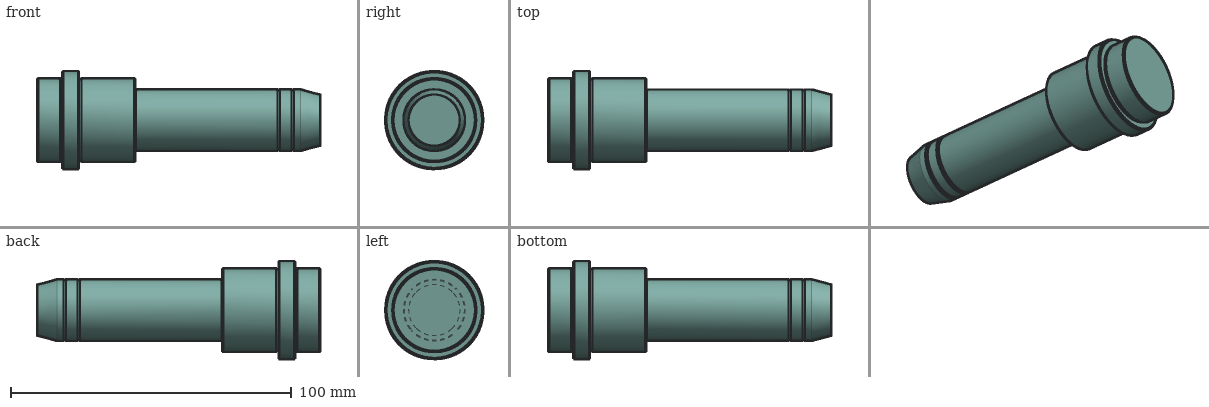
import cadquery as cq
import math

total_length = 101.0
head_diameter = 30.0
collar_diameter = 35.0
shaft_diameter = 22.0

collar_start = 9.0
collar_end = 15.0
sleeve_end = 35.0
taper_start = 93.9

edge_chamfer = 0.5

relief_width = 0.8
relief_depth = 0.4

groove_starts = (85.6, 90.6)
groove_width = 0.9
groove_depth = 0.3
undercut_width = 0.3

taper_angle = 15.0
taper_drop = (total_length - taper_start) * math.tan(math.radians(taper_angle))


def cylinder(start, end, diameter):
    """Solid cylinder on the X axis between two stations."""
    return cq.Workplane("YZ").workplane(offset=start).circle(diameter / 2).extrude(end - start)


def ring_groove(start, width, diameter, depth):
    """Cutter for a square groove around a cylinder of the given diameter."""
    bottom_diameter = diameter - 2 * depth
    return cylinder(start, start + width, diameter).cut(cylinder(start, start + width, bottom_diameter))


body = cylinder(0, sleeve_end, head_diameter).faces("<X or >X").chamfer(edge_chamfer)
for relief_start in (collar_start - relief_width, collar_end):
    body = body.cut(ring_groove(relief_start, relief_width, head_diameter, relief_depth))
collar = cylinder(collar_start, collar_end, collar_diameter).faces("<X or >X").chamfer(edge_chamfer)

shaft_radius = shaft_diameter / 2
shaft = (
    cq.Workplane("XY")
    .moveTo(sleeve_end, 0)
    .lineTo(sleeve_end, shaft_radius)
    .lineTo(taper_start, shaft_radius)
    .lineTo(total_length, shaft_radius - taper_drop)
    .lineTo(total_length, 0)
    .close()
    .revolve(360, (0, 0, 0), (1, 0, 0))
)
for groove_start in groove_starts:
    shaft = shaft.cut(ring_groove(groove_start, groove_width, shaft_diameter, groove_depth))
shaft = shaft.cut(ring_groove(sleeve_end, undercut_width, shaft_diameter, groove_depth))

result = body.union(collar).union(shaft)